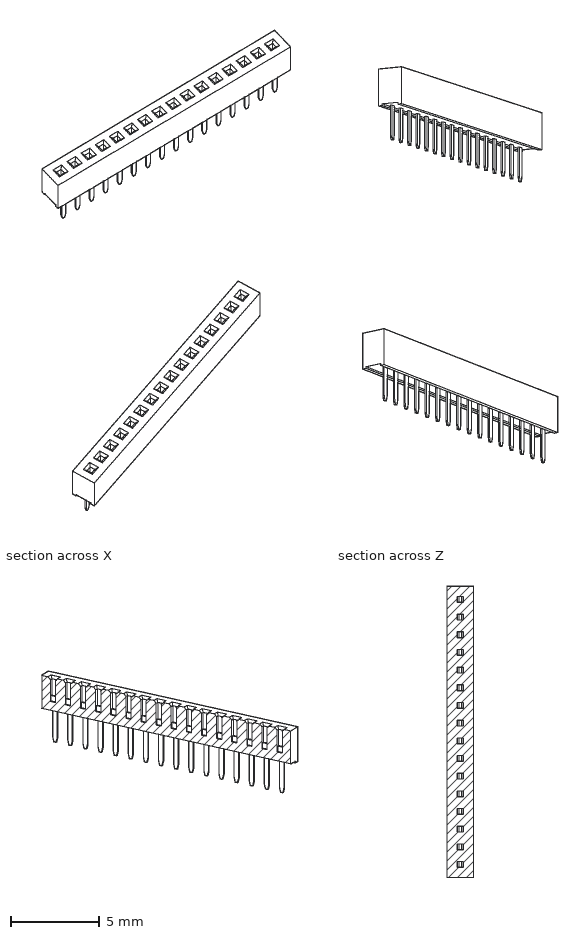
import cadquery as cq

LENGTH = 16.5
WIDTH = 1.5
POSITIONS = 16
END_MARGIN = 0.25
PITCH = LENGTH / (POSITIONS + 2 * END_MARGIN)
OVERALL_HEIGHT = 4.0
HOUSING_HEIGHT = 2.13

RAIL_HEIGHT = 0.1
RAIL_WIDTH = 0.25

BORE_SIDE = 0.31
FUNNEL_DEPTH = 0.15
MOUTH_SIDE = BORE_SIDE + 2 * FUNNEL_DEPTH
BORE_DEPTH = 0.99
CONTACT_GAP = 0.13
CONTACT_DEPTH = 0.33

TAIL_OFFSET = 0.26
TAIL_THICKNESS = 0.1
TAIL_WIDTH = 0.3
TIP_WIDTH = 0.15
TIP_LENGTH = 0.3

top_z = OVERALL_HEIGHT
rail_z = top_z - HOUSING_HEIGHT
underside_z = rail_z + RAIL_HEIGHT
position_ys = [(i - (POSITIONS - 1) / 2) * PITCH for i in range(POSITIONS)]


def make_housing():
    """Long block with a shallow channel between the two rails."""
    block = cq.Workplane("XY", origin=(0, 0, rail_z)).box(
        WIDTH, LENGTH, HOUSING_HEIGHT, centered=(True, True, False)
    )
    channel = cq.Workplane("XY", origin=(0, 0, rail_z)).box(
        WIDTH - 2 * RAIL_WIDTH, LENGTH, RAIL_HEIGHT, centered=(True, True, False)
    )
    return block.cut(channel)


def make_socket(y):
    """Cutter: tapered mouth, square bore, then the narrow gap between the contact blades."""
    funnel_z = top_z - FUNNEL_DEPTH
    bore_z = funnel_z - BORE_DEPTH
    mouth = (
        cq.Workplane("XY", origin=(0, y, top_z))
        .rect(MOUTH_SIDE, MOUTH_SIDE)
        .workplane(offset=-FUNNEL_DEPTH)
        .rect(BORE_SIDE, BORE_SIDE)
        .loft(ruled=True)
    )
    bore = cq.Workplane("XY", origin=(0, y, bore_z)).box(
        BORE_SIDE, BORE_SIDE, BORE_DEPTH, centered=(True, True, False)
    )
    gap = cq.Workplane("XY", origin=(0, y, bore_z - CONTACT_DEPTH)).box(
        CONTACT_GAP, BORE_SIDE, CONTACT_DEPTH, centered=(True, True, False)
    )
    return mouth.union(bore).union(gap)


def make_tail(y):
    """Flat solder tail, narrowed towards its tip, reaching up to the channel floor."""
    outline = [
        (y - TIP_WIDTH / 2, 0),
        (y + TIP_WIDTH / 2, 0),
        (y + TAIL_WIDTH / 2, TIP_LENGTH),
        (y + TAIL_WIDTH / 2, underside_z),
        (y - TAIL_WIDTH / 2, underside_z),
        (y - TAIL_WIDTH / 2, TIP_LENGTH),
    ]
    return (
        cq.Workplane("YZ", origin=(TAIL_OFFSET - TAIL_THICKNESS / 2, 0, 0))
        .polyline(outline)
        .close()
        .extrude(TAIL_THICKNESS)
    )


result = make_housing()
for position_y in position_ys:
    result = result.cut(make_socket(position_y))
    result = result.union(make_tail(position_y))